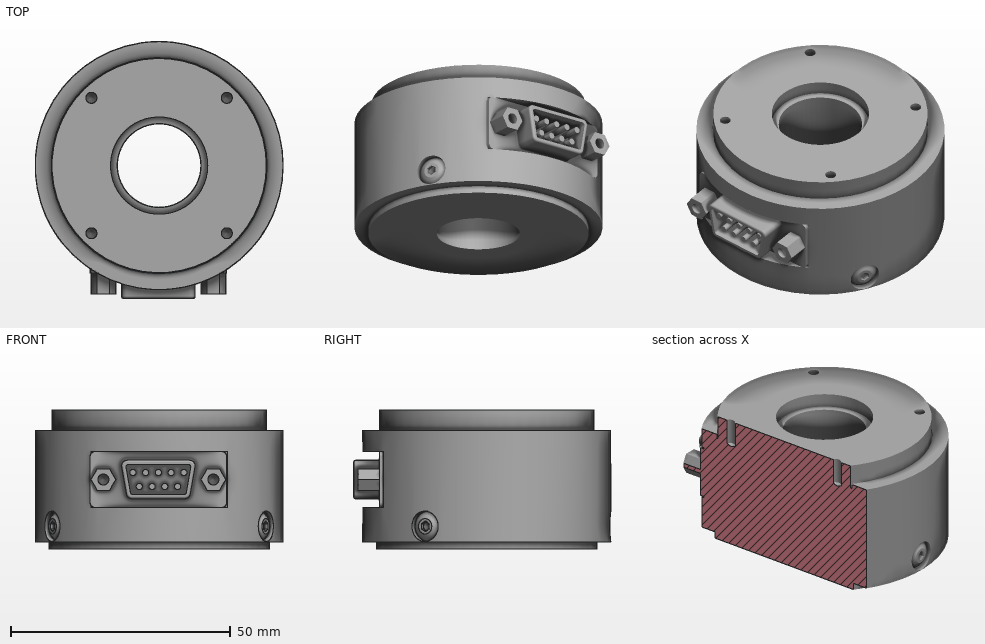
import cadquery as cq
import math

total_height = 31.75
body_diameter = 56.64
base_diameter = 50.3
base_height = 1.6
disc_diameter = 48.9
disc_height = 4.65
body_top = total_height - disc_height

groove_diameter = 49.3
groove_depth = 1.0

bore_diameter = 19.05
counterbore_diameter = 22.2
counterbore_depth = 3.175

mount_hole_diameter = 2.5
mount_hole_depth = 6.0
mount_hole_spacing = 30.9
drill_point_angle = 118.0

pocket_width = 31.15
pocket_height = 12.75
pocket_floor_y = -23.5
connector_z = total_height / 2

connector_x = -0.17
flange_width = pocket_width
flange_height = pocket_height
flange_thickness = 1.0
flange_corner_radius = 1.1
flange_face_y = pocket_floor_y - flange_thickness

shell_end_y = -30.35
shell_length = flange_face_y - shell_end_y
shell_height = 8.8
shell_top_width = 17.26
shell_side_angle = 10.0
shell_corner_radius = 1.28
shell_wall = 0.94
shell_cavity_corner_radius = 0.6
shell_rim_radius = 0.5
shell_foot_radius = 0.35

pin_diameter = 1.42
pin_pitch = 2.91
pin_row_spacing = 3.18
pin_length = 5.1
pins_per_row = (5, 4)

standoff_spacing = 25.1
standoff_across_flats = 4.9
standoff_length = 4.85
standoff_hole_diameter = 2.5
standoff_hole_depth = 4.0

screw_angles = (-150, -30, 90)
screw_z = 5.2
screw_recess_diameter = 6.9
screw_head_top = 28.1
screw_head_height = 1.4
screw_head_flat_diameter = 3.5
screw_head_bulge = 0.2
screw_socket_across_flats = 2.0
screw_socket_depth = 1.0

cutter_overrun = 1.0


def across_corners(across_flats):
    return across_flats / math.cos(math.radians(30))


def drill(diameter, depth):
    """Drilled hole along -Z from the origin, ending in a conical point."""
    radius = diameter / 2
    point = radius / math.tan(math.radians(drill_point_angle / 2))
    profile = [(0, 0), (radius, 0), (radius, -depth), (0, -depth - point)]
    return cq.Workplane("XZ").polyline(profile).close().revolve(360, (0, 0), (0, 1))


def facing_front(shape, x, y, z):
    """Turn a shape built along +Z to point along -Y and move its origin to (x, y, z)."""
    return shape.rotate((0, 0, 0), (1, 0, 0), 90).translate((x, y, z))


def make_housing():
    base_radius = base_diameter / 2
    body_radius = body_diameter / 2
    groove_radius = groove_diameter / 2
    disc_radius = disc_diameter / 2
    bore_radius = bore_diameter / 2
    counterbore_radius = counterbore_diameter / 2
    groove_floor = body_top - groove_depth
    ledge = total_height - counterbore_depth
    profile = [
        (bore_radius, 0),
        (base_radius, 0),
        (base_radius, base_height),
        (body_radius, base_height),
        (body_radius, body_top),
        (groove_radius, body_top),
        (groove_radius, groove_floor),
        (disc_radius, groove_floor),
        (disc_radius, total_height),
        (counterbore_radius, total_height),
        (counterbore_radius, ledge),
        (bore_radius, ledge),
    ]
    return cq.Workplane("XZ").polyline(profile).close().revolve(360, (0, 0), (0, 1))


def cut_mounting_holes(housing):
    hole = drill(mount_hole_diameter, mount_hole_depth)
    half_spacing = mount_hole_spacing / 2
    for x in (-half_spacing, half_spacing):
        for y in (-half_spacing, half_spacing):
            housing = housing.cut(hole.translate((x, y, total_height)))
    return housing


def cut_pocket(housing):
    pocket_depth = body_diameter / 2 + pocket_floor_y
    pocket = cq.Workplane("XY").rect(pocket_width, pocket_height).extrude(pocket_depth)
    return housing.cut(facing_front(pocket, 0, pocket_floor_y, connector_z))


def make_screw_recess():
    """Radial cutter along +X: everything above the domed screw head, plus its pointed hex socket."""
    recess_radius = screw_recess_diameter / 2
    flat_radius = screw_head_flat_diameter / 2
    head_base = screw_head_top - screw_head_height
    outside = body_diameter / 2 + cutter_overrun
    rise = screw_head_height
    run = recess_radius - flat_radius
    slope_length = math.hypot(rise, run)
    dome_middle = (
        (screw_head_top + head_base) / 2 + screw_head_bulge * run / slope_length,
        (flat_radius + recess_radius) / 2 + screw_head_bulge * rise / slope_length,
    )
    recess = (
        cq.Workplane("XY")
        .moveTo(outside, 0)
        .lineTo(screw_head_top, 0)
        .lineTo(screw_head_top, flat_radius)
        .threePointArc(dome_middle, (head_base, recess_radius))
        .lineTo(outside, recess_radius)
        .close()
        .revolve(360, (0, 0), (1, 0))
    )
    socket = (
        cq.Workplane("YZ", origin=(screw_head_top, 0, 0))
        .transformed(rotate=(0, 0, 90))
        .polygon(6, across_corners(screw_socket_across_flats))
        .extrude(-screw_socket_depth)
    )
    socket_point = (
        drill(screw_socket_across_flats, screw_socket_depth)
        .rotate((0, 0, 0), (0, 1, 0), 90)
        .translate((screw_head_top, 0, 0))
    )
    return recess.union(socket).union(socket_point)


def cut_screws(housing):
    recess = make_screw_recess().translate((0, 0, screw_z))
    for angle in screw_angles:
        housing = housing.cut(recess.rotate((0, 0, 0), (0, 0, 1), angle))
    return housing


def shell_outline():
    """Trapezoid of the connector shell, wide side up, before its corners are rounded."""
    half_top = shell_top_width / 2
    half_bottom = half_top - shell_height * math.tan(math.radians(shell_side_angle))
    half_height = shell_height / 2
    corners = [
        (-half_top, half_height),
        (half_top, half_height),
        (half_bottom, -half_height),
        (-half_bottom, -half_height),
    ]
    return cq.Workplane("XY").polyline(corners).close()


def make_shell():
    """Hollow D-shaped shell standing on the flange face at Z = 0, with a flared foot."""
    cavity = (
        shell_outline()
        .offset2D(-shell_wall)
        .extrude(shell_length)
        .edges("|Z")
        .fillet(shell_cavity_corner_radius)
    )
    flange = (
        cq.Workplane("XY")
        .rect(flange_width, flange_height)
        .extrude(-flange_thickness)
        .edges("|Z")
        .fillet(flange_corner_radius)
    )
    shell = shell_outline().extrude(shell_length).edges("|Z").fillet(shell_corner_radius)
    shell = shell.faces(">Z").edges().fillet(shell_rim_radius)
    foot_edges = cq.selectors.BoxSelector(
        (-shell_top_width / 2, -shell_height / 2, -flange_thickness / 2),
        (shell_top_width / 2, shell_height / 2, flange_thickness / 2),
    )
    return flange.union(shell).edges(foot_edges).fillet(shell_foot_radius).cut(cavity)


def make_pins():
    """Two staggered rows of pins, the longer row on top."""
    pins = cq.Workplane("XY")
    for count, row_y in zip(pins_per_row, (pin_row_spacing / 2, -pin_row_spacing / 2)):
        first_x = -(count - 1) * pin_pitch / 2
        for index in range(count):
            pins = pins.moveTo(first_x + index * pin_pitch, row_y).circle(pin_diameter / 2)
    return pins.extrude(pin_length)


def make_standoff():
    standoff = (
        cq.Workplane("XY")
        .polygon(6, across_corners(standoff_across_flats))
        .extrude(standoff_length)
    )
    hole = drill(standoff_hole_diameter, standoff_hole_depth)
    return standoff.cut(hole.translate((0, 0, standoff_length)))


def make_connector():
    connector = make_shell().union(make_pins())
    standoff = make_standoff()
    for side in (-1, 1):
        connector = connector.union(standoff.translate((side * standoff_spacing / 2, 0, 0)))
    return facing_front(connector, connector_x, flange_face_y, connector_z)


housing = cut_screws(cut_pocket(cut_mounting_holes(make_housing())))
result = housing.union(make_connector())